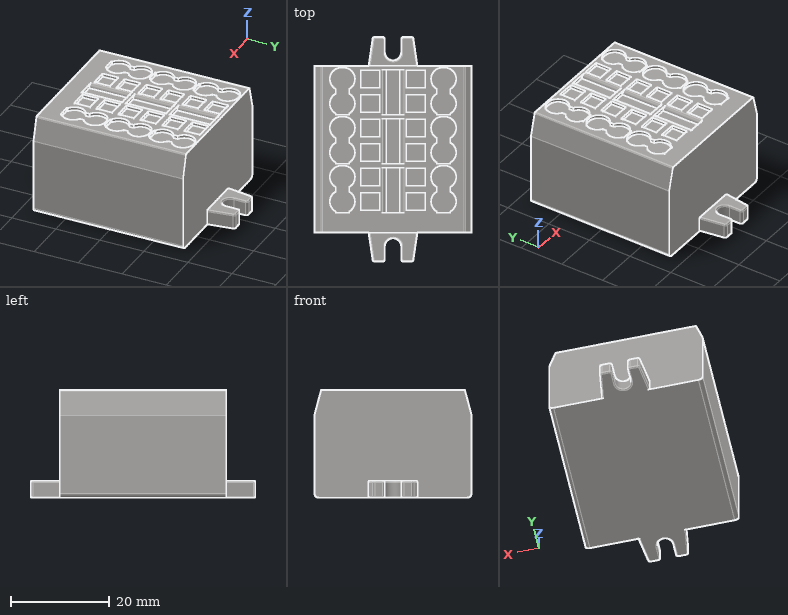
import cadquery as cq
import math

overall_length = 45.8
body_width = 32.05
body_length = 34.0
body_height = 22.0
bevel_height = 5.15
bevel_angle = 15.0
bevel_inset = bevel_height * math.tan(math.radians(bevel_angle))
top_edge_radius = 0.27
bottom_edge_radius = 0.9

tab_height = 3.5
tab_root_width = 10.0
tab_tip_width = 8.25
tab_slot_width = 3.3
tab_slot_depth = 4.75
tab_corner_radius = 0.5
tab_edge_radius = 0.27
tab_overlap = 0.9

group_count = 3
group_pitch = 10.0
pole_pitch = group_pitch / 2
first_group_setback = 5.25
first_group_y = body_length / 2 - first_group_setback
group_rows = [first_group_y - i * group_pitch for i in range(group_count)]

keyhole_x = 10.3
pocket_width = 5.15
pocket_length = 4.63
keyhole_row_offset = 0.1
keyhole_neck_width = 2.7
keyhole_neck_end = 4.75
keyhole_depth = 0.75

square_x = 4.63
square_width = 3.8
square_length = 3.55
square_row_offset = 0.15
square_depth = 0.75

trough_floor_width = 2.7
trough_edge_radius = 0.82
trough_length = 9.1
trough_row_offset = -0.1


def make_body():
    half_width = body_width / 2
    top_half_width = half_width - bevel_inset
    shoulder_z = body_height - bevel_height
    block = (
        cq.Workplane("XZ")
        .polyline([
            (-half_width, 0),
            (half_width, 0),
            (half_width, shoulder_z),
            (top_half_width, body_height),
            (-top_half_width, body_height),
            (-half_width, shoulder_z),
        ])
        .close()
        .extrude(body_length / 2, both=True)
    )
    block = block.faces(">Z").edges("|Y").fillet(top_edge_radius)
    return block.faces("<Z").edges("|Y").fillet(bottom_edge_radius)


def make_tab():
    """Tapered tab at the +Y end, with its root buried in the body."""
    root_y = body_length / 2
    tip_y = overall_length / 2
    slot_radius = tab_slot_width / 2
    slot_center_y = tip_y - tab_slot_depth + slot_radius
    tab = (
        cq.Workplane("XY")
        .moveTo(-tab_root_width / 2, root_y - tab_overlap)
        .lineTo(-tab_root_width / 2, root_y)
        .lineTo(-tab_tip_width / 2, tip_y)
        .lineTo(-slot_radius, tip_y)
        .lineTo(-slot_radius, slot_center_y)
        .threePointArc((0, slot_center_y - slot_radius), (slot_radius, slot_center_y))
        .lineTo(slot_radius, tip_y)
        .lineTo(tab_tip_width / 2, tip_y)
        .lineTo(tab_root_width / 2, root_y)
        .lineTo(tab_root_width / 2, root_y - tab_overlap)
        .close()
        .extrude(tab_height)
    )
    tab = tab.faces(">Y").edges("|Z").fillet(tab_corner_radius)
    return tab.faces("<Z or >Z").edges().fillet(tab_edge_radius)


def make_keyhole(center_x, center_y):
    """Two pockets and their neck, all ending in one straight edge on the -Y side."""
    floor = cq.Workplane("XY", origin=(center_x, center_y, body_height - keyhole_depth))
    neck_top = pole_pitch / 2
    neck_length = neck_top + keyhole_neck_end
    neck = (
        floor.center(0, neck_top - neck_length / 2)
        .rect(keyhole_neck_width, neck_length)
        .extrude(keyhole_depth)
    )
    pockets = (
        floor.pushPoints([(0, -pole_pitch / 2), (0, pole_pitch / 2)])
        .slot2D(pocket_width, pocket_length)
        .extrude(keyhole_depth)
    )
    beyond_end = (
        floor.center(0, -keyhole_neck_end - pocket_length / 2)
        .rect(pocket_width, pocket_length)
        .extrude(keyhole_depth)
    )
    return neck.union(pockets).cut(beyond_end)


def make_squares():
    centers = [
        (side * square_x, y + square_row_offset + end * pole_pitch / 2)
        for side in (-1, 1)
        for y in group_rows
        for end in (-1, 1)
    ]
    return (
        cq.Workplane("XY", origin=(0, 0, body_height - square_depth))
        .pushPoints(centers)
        .rect(square_width, square_length)
        .extrude(square_depth)
    )


def make_trough(center_y):
    """Trough whose long walls are quarter rounds flaring out to the top face."""
    half_floor = trough_floor_width / 2
    half_top = half_floor + trough_edge_radius
    floor_z = body_height - trough_edge_radius
    arc_inset = trough_edge_radius * math.sqrt(0.5)
    arc_x = half_top - arc_inset
    arc_z = floor_z + arc_inset
    return (
        cq.Workplane("XZ", origin=(0, center_y, 0))
        .moveTo(-half_floor, floor_z)
        .lineTo(half_floor, floor_z)
        .threePointArc((arc_x, arc_z), (half_top, body_height))
        .lineTo(-half_top, body_height)
        .threePointArc((-arc_x, arc_z), (-half_floor, floor_z))
        .close()
        .extrude(trough_length / 2, both=True)
    )


tab = make_tab()
result = make_body().union(tab).union(tab.mirror("XZ"))
result = result.cut(make_squares())
for row_y in group_rows:
    result = result.cut(make_trough(row_y + trough_row_offset))
    for side in (-1, 1):
        result = result.cut(make_keyhole(side * keyhole_x, row_y + keyhole_row_offset))